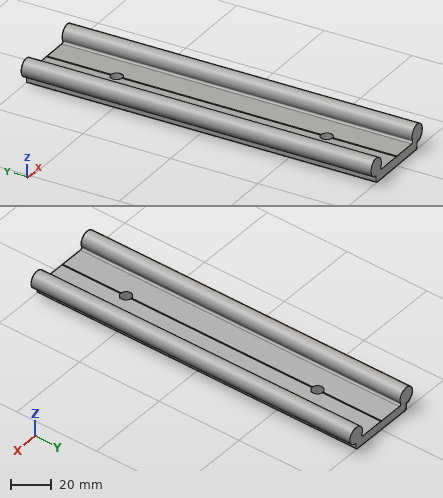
import cadquery as cq
import math

length = 200.0
overall_width = 50.0
overall_height = 14.0
bead_diameter = 10.0
floor_height = 5.5
root_fillet = 1.0
underside_fillet = 0.5
bottom_chamfer = 0.5
groove_width = 0.5
groove_depth = 0.3
hole_diameter = 6.5
hole_spacing = 120.0

bead_radius = bead_diameter / 2
bead_x = overall_width / 2 - bead_radius
bead_z = overall_height - bead_radius

fillet_z = floor_height + root_fillet
centre_distance = bead_radius + root_fillet
fillet_drop = bead_z - fillet_z
fillet_x = bead_x - math.sqrt(centre_distance**2 - fillet_drop**2)
tangent_fraction = bead_radius / centre_distance
tangent_x = bead_x - tangent_fraction * (bead_x - fillet_x)
tangent_z = bead_z - tangent_fraction * fillet_drop
floor_angle = -math.pi / 2
root_bead_angle = math.atan2(tangent_z - fillet_z, tangent_x - fillet_x)
fillet_mid_angle = (root_bead_angle + floor_angle) / 2
fillet_mid = (
    fillet_x + root_fillet * math.cos(fillet_mid_angle),
    fillet_z + root_fillet * math.sin(fillet_mid_angle),
)

under_x = bead_x + underside_fillet
under_distance = bead_radius + underside_fillet
under_z = bead_z - math.sqrt(under_distance**2 - underside_fillet**2)
under_fraction = bead_radius / under_distance
under_tangent = (
    bead_x + under_fraction * (under_x - bead_x),
    bead_z + under_fraction * (under_z - bead_z),
)
wall_angle = math.pi
under_bead_angle = math.atan2(under_tangent[1] - under_z, under_tangent[0] - under_x)
under_mid_angle = (wall_angle + under_bead_angle) / 2
under_mid = (
    under_x + underside_fillet * math.cos(under_mid_angle),
    under_z + underside_fillet * math.sin(under_mid_angle),
)


def make_rail():
    """Extrude half of the section along Y and mirror it about the YZ plane."""
    half = (
        cq.Workplane("XZ")
        .lineTo(bead_x - bottom_chamfer, 0)
        .lineTo(bead_x, bottom_chamfer)
        .lineTo(bead_x, under_z)
        .threePointArc(under_mid, under_tangent)
        .threePointArc((bead_x + bead_radius, bead_z), (bead_x, overall_height))
        .threePointArc((bead_x - bead_radius, bead_z), (tangent_x, tangent_z))
        .threePointArc(fillet_mid, (fillet_x, floor_height))
        .lineTo(0, floor_height)
        .close()
        .extrude(length / 2, both=True)
    )
    return half.union(half.mirror("YZ")).clean()


def make_centre_groove():
    """Shallow V groove along the middle of the floor."""
    return (
        cq.Workplane("XZ")
        .moveTo(-groove_width / 2, floor_height)
        .lineTo(0, floor_height - groove_depth)
        .lineTo(groove_width / 2, floor_height)
        .close()
        .extrude(length / 2, both=True)
    )


def make_holes():
    """Two mounting holes through the floor."""
    return (
        cq.Workplane("XY")
        .pushPoints([(0, -hole_spacing / 2), (0, hole_spacing / 2)])
        .circle(hole_diameter / 2)
        .extrude(floor_height)
    )


result = make_rail().cut(make_centre_groove()).cut(make_holes())